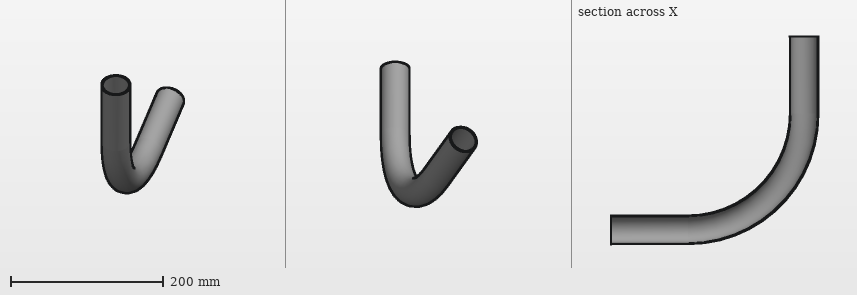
import cadquery as cq

overall_size = 273.0
outer_diameter = 38.2
inner_diameter = 35.0
bend_radius = 152.4

leg_length = overall_size - bend_radius - outer_diameter / 2


def tube_section(workplane):
    """Draw the annular cross-section of the tube at the workplane origin."""
    return workplane.circle(outer_diameter / 2).circle(inner_diameter / 2)


vertical_leg = tube_section(cq.Workplane("XY")).extrude(leg_length)

bend = tube_section(cq.Workplane("XY")).revolve(
    90, (0, bend_radius, 0), (1, bend_radius, 0)
)

bend_end = (0, bend_radius, -bend_radius)
horizontal_leg = tube_section(
    cq.Workplane(cq.Plane(origin=bend_end, xDir=(1, 0, 0), normal=(0, 1, 0)))
).extrude(leg_length)

result = vertical_leg.union(bend).union(horizontal_leg)